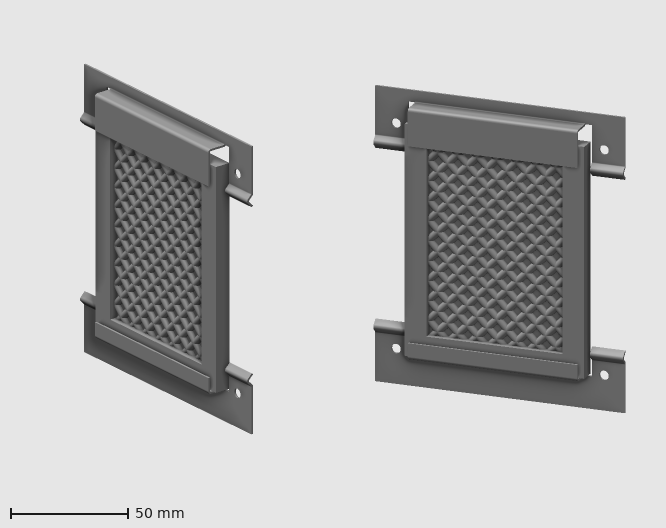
import cadquery as cq
import math

SHEET = 1.0
BEND_INSIDE = 0.5
BEND_MIDDLE = BEND_INSIDE + SHEET / 2
BEND_APEX = BEND_MIDDLE * (math.sqrt(2) - 1)

PLATE_WIDTH = 114.3
OUTER_Z = 66.7
NOTCH_WIDTH = 84.0
CLIP_WIDTH = 77.6
CLIP_DEPTH = 9.7
CLIP_LIP_Z = 44.4
UPPER_SHELF_Z = 61.3
LOWER_SHELF_Z = 52.0
HOLE_DIAMETER = 4.3
HOLE_X = 47.6
HOLE_Z = 50.8

RIDGE_Z = 41.6
RIDGE_DEPTH = 3.2

FRAME_WIDTH = 82.1
FRAME_TOP = 53.5
FRAME_BOTTOM = SHEET - LOWER_SHELF_Z
FRAME_DEPTH = 7.5
FRAME_BORDER = 9.9
POCKET_DEPTH = 4.0

LATTICE_SPAN = 36.0
PITCHES_IN_SPAN = 4
LATTICE_PITCH = LATTICE_SPAN / PITCHES_IN_SPAN
RIB_RADIUS = 1.7


def box(width, front, back, bottom, top):
    """Block centred on X = 0, between two depths (measured toward -Y) and two heights."""
    return cq.Workplane("XY").box(width, front - back, top - bottom).translate(
        (0, -(front + back) / 2, (bottom + top) / 2)
    )


def bent_strip(width, x_centre, path):
    """Sheet strip whose middle surface follows a path of (depth, z) points with rounded bends."""
    points = [cq.Vector(x_centre, -depth, z) for depth, z in path]
    sharp_spine = cq.Wire.makePolygon(points)
    spine = sharp_spine.fillet(BEND_MIDDLE, sharp_spine.Vertices()[1:-1])
    return (
        cq.Workplane("XY", origin=points[0].toTuple())
        .rect(width, SHEET)
        .sweep(cq.Workplane(spine))
    )


def make_bracket(shelf_z):
    """Bracket in its upper position: plate, hooked clip, two ridged side tabs and two holes."""
    middle = SHEET / 2
    plate = box(PLATE_WIDTH, SHEET, 0, shelf_z, OUTER_Z)

    clip_root = box(CLIP_WIDTH, SHEET, 0, shelf_z, shelf_z + BEND_INSIDE)
    shelf_middle = shelf_z - middle
    lip_middle = CLIP_DEPTH - middle
    clip_path = [
        (middle, OUTER_Z),
        (middle, shelf_middle),
        (lip_middle, shelf_middle),
        (lip_middle, CLIP_LIP_Z),
    ]
    bracket = plate.cut(clip_root).union(bent_strip(CLIP_WIDTH, 0, clip_path))

    crest = RIDGE_DEPTH - middle + BEND_APEX
    end_depth = middle / math.sqrt(2)
    tab_path = [
        (middle, OUTER_Z),
        (middle, RIDGE_Z + crest - middle),
        (crest, RIDGE_Z),
        (end_depth, RIDGE_Z - crest + end_depth),
    ]
    tab_width = (PLATE_WIDTH - NOTCH_WIDTH) / 2
    tab_centre = (PLATE_WIDTH + NOTCH_WIDTH) / 4
    for side in (-1, 1):
        bracket = bracket.union(bent_strip(tab_width, side * tab_centre, tab_path))

    holes = (
        cq.Workplane("XZ")
        .pushPoints([(-HOLE_X, HOLE_Z), (HOLE_X, HOLE_Z)])
        .circle(HOLE_DIAMETER / 2)
        .extrude(SHEET)
    )
    return bracket.cut(holes)


def make_ribs(width, height, z_centre):
    """Two crossing families of round rods, trimmed to the window; their rear halves lie in the floor."""
    half_span = (width + height) / 2
    count = math.ceil(half_span / LATTICE_PITCH)
    offsets = [(i + 0.5) * LATTICE_PITCH for i in range(-count, count)]
    rod_length = 2 * half_span
    window = box(width, FRAME_DEPTH, 0, z_centre - height / 2, z_centre + height / 2)
    families = []
    for slope in (-1, 1):
        direction = cq.Vector(1, 0, slope).normalized()
        rods = []
        for offset in offsets:
            middle = cq.Vector(offset / 2, POCKET_DEPTH - FRAME_DEPTH, z_centre - slope * offset / 2)
            start = middle - direction * (rod_length / 2)
            rods.append(cq.Solid.makeCylinder(RIB_RADIUS, rod_length, start, direction))
        families.append(cq.Workplane(cq.Compound.makeCompound(rods)).intersect(window))
    falling, rising = families
    return falling.union(rising)


def make_frame():
    """Filter frame: block with a front pocket and a ribbed floor."""
    window_width = FRAME_WIDTH - 2 * FRAME_BORDER
    window_bottom = FRAME_BOTTOM + FRAME_BORDER
    window_top = FRAME_TOP - FRAME_BORDER
    frame = box(FRAME_WIDTH, FRAME_DEPTH, 0, FRAME_BOTTOM, FRAME_TOP)
    pocket = box(window_width, FRAME_DEPTH, FRAME_DEPTH - POCKET_DEPTH, window_bottom, window_top)
    ribs = make_ribs(window_width, window_top - window_bottom, (window_top + window_bottom) / 2)
    return frame.cut(pocket).union(ribs)


upper_bracket = make_bracket(UPPER_SHELF_Z)
lower_bracket = make_bracket(LOWER_SHELF_Z).mirror("XY")
frame = make_frame()

result = cq.Compound.makeCompound(
    [
        *upper_bracket.solids().vals(),
        *lower_bracket.solids().vals(),
        *frame.solids().vals(),
    ]
)